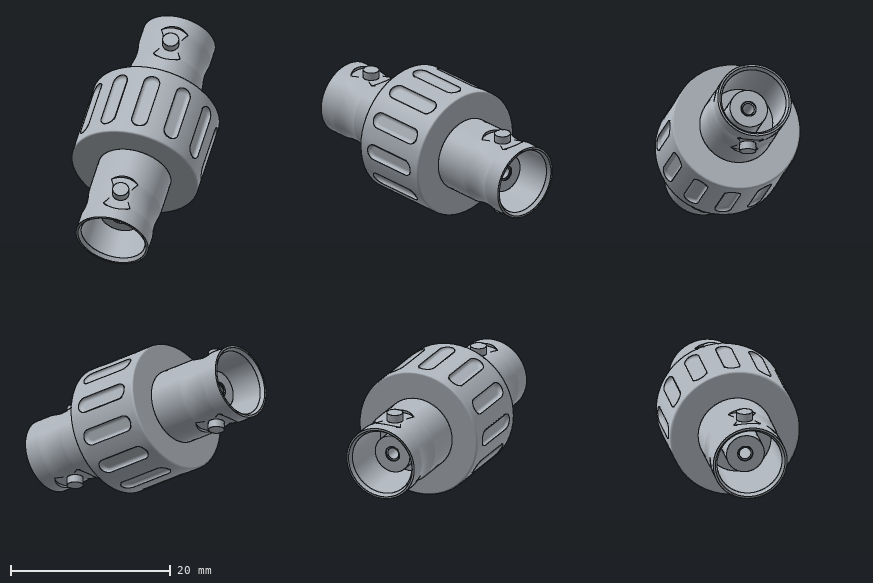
import cadquery as cq

total_length = 32.42
half_length = total_length / 2

collar_radius = 8.255
collar_length = 10.6
collar_edge_radius = 0.25

pocket_count = 12
pocket_length = 7.8
pocket_width = 2.05
pocket_floor_radius = 7.76
pocket_floor_fillet = 0.5
pocket_tool_clearance = 1.0

tube_radius = 4.72
neck_radius = 4.5
neck_center = half_length - 4.17
neck_length = 3.8

pad_radius = 2.56
pad_height = 4.39
pin_radius = 1.02
pin_height = 5.41

mouth_radius = 4.45
mouth_chamfer_depth = 0.5
bore_radius = 4.15
bore_depth = 8.5
insulator_radius = 2.41
insulator_setback = 3.5
contact_mouth_radius = 0.96
contact_mouth_depth = 0.2
through_radius = 0.75


def cylinder_along_y(radius, start, end):
    """Cylinder on the Y axis between two Y positions."""
    return cq.Workplane("XZ", origin=(0, start, 0)).circle(radius).extrude(start - end)


def make_tube():
    """Solid of revolution for both ends, with a concave arc at each neck."""
    half_neck = neck_length / 2
    outline = (
        cq.Workplane("XY")
        .moveTo(0, -half_length)
        .lineTo(tube_radius, -half_length)
        .lineTo(tube_radius, -neck_center - half_neck)
        .threePointArc((neck_radius, -neck_center), (tube_radius, -neck_center + half_neck))
        .lineTo(tube_radius, neck_center - half_neck)
        .threePointArc((neck_radius, neck_center), (tube_radius, neck_center + half_neck))
        .lineTo(tube_radius, half_length)
        .lineTo(0, half_length)
        .close()
    )
    return outline.revolve(360, (0, 0, 0), (0, 1, 0))


def make_pocket_tool():
    """Rounded slot with a filleted flat floor, facing +Z."""
    tool_height = collar_radius - pocket_floor_radius + pocket_tool_clearance
    return (
        cq.Workplane("XY", origin=(0, 0, pocket_floor_radius))
        .slot2D(pocket_length, pocket_width, 90)
        .extrude(tool_height)
        .faces("<Z")
        .edges()
        .fillet(pocket_floor_fillet)
    )


def make_collar():
    """Grip collar with rounded rims and evenly spaced pockets."""
    collar = cylinder_along_y(collar_radius, -collar_length / 2, collar_length / 2)
    collar = collar.faces("<Y or >Y").edges().fillet(collar_edge_radius)
    pocket = make_pocket_tool()
    for index in range(pocket_count):
        angle = index * 360 / pocket_count
        collar = collar.cut(pocket.rotate((0, 0, 0), (0, 1, 0), angle))
    return collar


def add_pads_and_pins(body):
    """Cut a flat pad above and below each neck and stand a pin on it."""
    for y_side in (-1, 1):
        for z_side in (-1, 1):
            base = cq.Workplane("XY", origin=(0, y_side * neck_center, z_side * pad_height))
            body = body.cut(base.circle(pad_radius).extrude(z_side * pad_radius))
            root = cq.Workplane("XY", origin=(0, y_side * neck_center, z_side * bore_radius))
            body = body.union(root.circle(pin_radius).extrude(z_side * (pin_height - bore_radius)))
    return body


def make_bore_tool():
    """Cutter for the -Y end: annular socket around the insulator post, and the contact hole."""
    bore_floor = -half_length + bore_depth
    insulator_face = -half_length + insulator_setback
    contact_mouth_floor = insulator_face + contact_mouth_depth
    return (
        cq.Workplane("XY")
        .moveTo(0, -half_length)
        .lineTo(mouth_radius, -half_length)
        .lineTo(bore_radius, -half_length + mouth_chamfer_depth)
        .lineTo(bore_radius, bore_floor)
        .lineTo(insulator_radius, bore_floor)
        .lineTo(insulator_radius, insulator_face)
        .lineTo(contact_mouth_radius, insulator_face)
        .lineTo(contact_mouth_radius, contact_mouth_floor)
        .lineTo(through_radius, contact_mouth_floor)
        .lineTo(through_radius, 0)
        .lineTo(0, 0)
        .close()
        .revolve(360, (0, 0, 0), (0, 1, 0))
    )


body = make_tube().union(make_collar())
body = add_pads_and_pins(body)
bore = make_bore_tool()
result = body.cut(bore).cut(bore.mirror("XZ"))